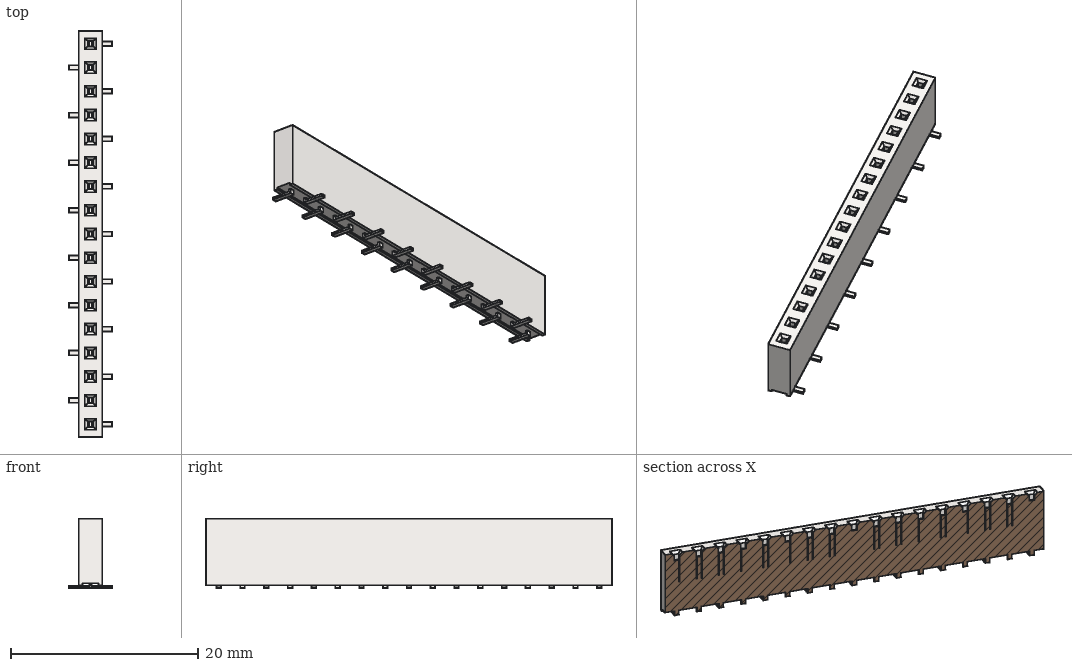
import cadquery as cq

PIN_COUNT = 17
TOTAL_HEIGHT = 7.4
LEAD_SPAN = 4.65

BODY_WIDTH = 2.5
BODY_LENGTH = 43.4
EXTRA_LENGTH = 0.2
CHANNEL_WIDTH = 1.7
CHANNEL_DEPTH = 0.2

STANDOFF = 0.3
LEAD_THICKNESS = 0.25
BLADE_THICKNESS = 0.25
LEAD_WIDTH = 0.5

FUNNEL_MOUTH = 1.2
HOLE_SIZE = 0.6
FUNNEL_DEPTH = 0.3
HOLE_DEPTH = 3.45
CONTACT_RECESS = 0.85

pitch = (BODY_LENGTH - EXTRA_LENGTH) / PIN_COUNT
body_height = TOTAL_HEIGHT - STANDOFF
pin_positions = [(i - (PIN_COUNT - 1) / 2) * pitch for i in range(PIN_COUNT)]


def make_body():
    """Rectangular housing with a channel along the middle of its underside."""
    block = (
        cq.Workplane("XY", origin=(0, 0, STANDOFF))
        .box(BODY_WIDTH, BODY_LENGTH, body_height, centered=(True, True, False))
    )
    channel = (
        cq.Workplane("XY", origin=(0, 0, STANDOFF))
        .box(CHANNEL_WIDTH, BODY_LENGTH, CHANNEL_DEPTH, centered=(True, True, False))
    )
    return block.cut(channel)


def make_socket(y):
    """Square blind hole with a tapered mouth, as a cutting shape."""
    funnel = (
        cq.Workplane("XY", origin=(0, y, TOTAL_HEIGHT))
        .rect(FUNNEL_MOUTH, FUNNEL_MOUTH)
        .workplane(offset=-FUNNEL_DEPTH)
        .rect(HOLE_SIZE, HOLE_SIZE)
        .loft()
    )
    hole = (
        cq.Workplane("XY", origin=(0, y, TOTAL_HEIGHT - HOLE_DEPTH))
        .rect(HOLE_SIZE, HOLE_SIZE)
        .extrude(HOLE_DEPTH - FUNNEL_DEPTH)
    )
    return funnel.union(hole)


def make_contact(y, side):
    """L-shaped contact: upright blade with a foot reaching out to the given side of X."""
    half = BLADE_THICKNESS / 2
    tip = TOTAL_HEIGHT - CONTACT_RECESS
    profile = [
        (-side * half, 0),
        (side * LEAD_SPAN / 2, 0),
        (side * LEAD_SPAN / 2, LEAD_THICKNESS),
        (side * half, LEAD_THICKNESS),
        (side * half, tip),
        (-side * half, tip),
    ]
    return (
        cq.Workplane("XZ", origin=(0, y, 0))
        .polyline(profile)
        .close()
        .extrude(LEAD_WIDTH / 2, both=True)
    )


result = make_body()
for y in pin_positions:
    result = result.cut(make_socket(y))
for index, y in enumerate(pin_positions):
    side = 1 if index % 2 == 0 else -1
    result = result.union(make_contact(y, side))